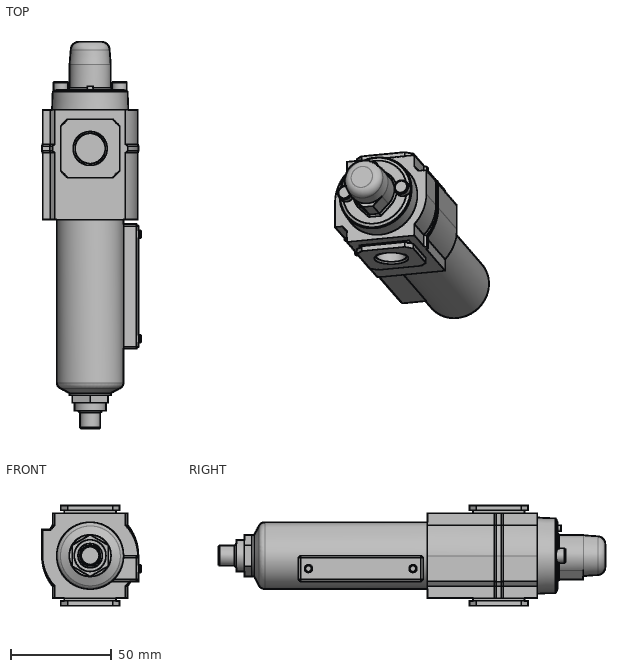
import cadquery as cq
import math


HOUSING_LENGTH = 54.8
HOUSING_HALF_HEIGHT = 21.2
FLANK_X = 17.5
BULGE_X = 23.7
LEDGE_Z = 12.7
SLOPE_X = 19.9
SHOULDER_Z = 15.3

RIB_FLANK_X = 18.7
RIB_BULGE_X = 24.1
RIB_LEDGE_Z = 13.1
RIB_SLOPE_X = 20.0
RIB_BASE_WIDTH = 4.5
RIB_CREST_WIDTH = 2.3

PORT_Y = 35.5
PAD_SIZE = 29.3
PAD_CORNER = 3.5
PAD_TOP_Z = 25.0
PAD_THICKNESS = 2.5
NECK_INSET = PAD_CORNER / 2
PORT_RADIUS = 7.5
PORT_DEPTH = 15.5
PORT_CHAMFER = 1.0

FLANGE_BASE_RADIUS = 19.1
FLANGE_TOP_RADIUS = 18.7
FLANGE_THICKNESS = 10.0
FLANGE_CHAMFER = 1.2
STEM_DIAMETER = 20.7
STEM_RADIUS = STEM_DIAMETER / 2
STEM_LENGTH = 12.7
STEM_KEEL_Z = -12.0
STEM_CHAMFER = 1.0
KNOB_TOP_RADIUS = 9.5
KNOB_LENGTH = 11.2
KNOB_FILLET = 4.2
BOLT_X = 14.7
BOLT_RADIUS = 3.7
BOLT_HEIGHT = 4.0
BOLT_CHAMFER = 0.5
PIN_Z = 13.7
PIN_RADIUS = 1.5
PIN_HEIGHT = 1.7
SELECT_MARGIN = 0.2

BOWL_DIAMETER = 33.4
BOWL_RADIUS = BOWL_DIAMETER / 2
BOWL_RIM_Y = -83.2
BOWL_RIM_FILLET = 3.3
BOWL_END_Y = -86.5

WASHER_RADIUS = 10.5
WASHER_THICKNESS = 1.2
NUT_SIDES = 6
NUT_THICKNESS = 3.7
COLLAR_RADIUS = 8.0
COLLAR_LENGTH = 4.0
DRAIN_DIAMETER = 10.2
DRAIN_RADIUS = DRAIN_DIAMETER / 2
DRAIN_END_Y = -104.2
DRAIN_CHAMFER = 0.68
DRAIN_FLARE = 1.0

BOX_OUTER_X = 24.1
BOX_HEIGHT = 13.0
BOX_START_Y = -2.1
BOX_LENGTH = 62.4
BOX_EDGE = 1.2
SCREW_SPACING = 52.1
SCREW_RADIUS = 2.0
SCREW_HEIGHT = 1.4
SCREW_CHAMFER = 0.4


def plane_at(y):
    """XZ plane at the given Y, facing -Y, with local axes along +X and +Z."""
    return cq.Workplane("XZ", origin=(0, y, 0))


def cylinder(radius, y_low, y_high, x=0, z=0):
    return plane_at(y_high).center(x, z).circle(radius).extrude(y_high - y_low)


def cone(radius_low, radius_high, y_low, y_high):
    outline = [(0, y_low), (radius_low, y_low), (radius_high, y_high), (0, y_high)]
    return cq.Workplane("XY").polyline(outline).close().revolve(360, (0, 0), (0, 1))


def housing_outline(workplane, flank_x, bulge_x, ledge_z, slope_x):
    """Outline with the same bulge on both sides, turned half a turn about Y."""
    top = HOUSING_HALF_HEIGHT
    return (
        workplane.moveTo(-flank_x, top)
        .lineTo(-flank_x, SHOULDER_Z)
        .lineTo(-slope_x, ledge_z)
        .lineTo(-bulge_x, ledge_z)
        .lineTo(-bulge_x, 0)
        .tangentArcPoint((-flank_x, -SHOULDER_Z), relative=False)
        .lineTo(-flank_x, -top)
        .lineTo(flank_x, -top)
        .lineTo(flank_x, -SHOULDER_Z)
        .lineTo(slope_x, -ledge_z)
        .lineTo(bulge_x, -ledge_z)
        .lineTo(bulge_x, 0)
        .tangentArcPoint((flank_x, SHOULDER_Z), relative=False)
        .lineTo(flank_x, top)
        .close()
    )


def base_outline(workplane):
    return housing_outline(workplane, FLANK_X, BULGE_X, LEDGE_Z, SLOPE_X)


def crest_outline(workplane):
    return housing_outline(workplane, RIB_FLANK_X, RIB_BULGE_X, RIB_LEDGE_Z, RIB_SLOPE_X)


def make_rib():
    """Rib with a flat crest and sloping flanks that follows the housing outline."""
    crest = crest_outline(plane_at(PORT_Y + RIB_CREST_WIDTH / 2)).extrude(RIB_CREST_WIDTH)
    flank_width = (RIB_BASE_WIDTH - RIB_CREST_WIDTH) / 2
    for side in (-1, 1):
        base = base_outline(plane_at(PORT_Y + side * RIB_BASE_WIDTH / 2))
        sections = crest_outline(base.workplane(offset=side * flank_width))
        crest = crest.union(sections.loft(ruled=True))
    return crest


def make_port_pad():
    """Pad on the top face, standing on a smaller neck."""
    pad_bottom = PAD_TOP_Z - PAD_THICKNESS
    plate = (
        cq.Workplane("XY", origin=(0, PORT_Y, pad_bottom))
        .rect(PAD_SIZE, PAD_SIZE)
        .extrude(PAD_THICKNESS)
        .edges("|Z")
        .chamfer(PAD_CORNER)
    )
    neck_size = PAD_SIZE - 2 * NECK_INSET
    neck = (
        cq.Workplane("XY", origin=(0, PORT_Y, HOUSING_HALF_HEIGHT))
        .rect(neck_size, neck_size)
        .extrude(pad_bottom - HOUSING_HALF_HEIGHT)
    )
    return plate.union(neck)


def make_port_bore():
    bore = cq.Workplane("XY", origin=(0, PORT_Y, PAD_TOP_Z)).circle(PORT_RADIUS).extrude(-PORT_DEPTH)
    mouth = cq.Solid.makeCone(
        PORT_RADIUS, PORT_RADIUS + PORT_CHAMFER, PORT_CHAMFER,
        pnt=cq.Vector(0, PORT_Y, PAD_TOP_Z - PORT_CHAMFER),
    )
    return bore.union(cq.Workplane(mouth))


def make_housing():
    housing = base_outline(plane_at(HOUSING_LENGTH)).extrude(HOUSING_LENGTH).union(make_rib())
    pad = make_port_pad()
    bore = make_port_bore()
    housing = housing.union(pad).union(pad.mirror("XY"))
    return housing.cut(bore).cut(bore.mirror("XY"))


def make_bonnet_stem(y_low, y_high):
    """Teardrop: a cylinder with two 45 degree tangent flats that meet a flat keel."""
    tangent = STEM_RADIUS * math.cos(math.pi / 4)
    keel_half_width = 2 * tangent + STEM_KEEL_Z
    return (
        plane_at(y_high)
        .moveTo(-tangent, -tangent)
        .threePointArc((0, STEM_RADIUS), (tangent, -tangent))
        .lineTo(keel_half_width, STEM_KEEL_Z)
        .lineTo(-keel_half_width, STEM_KEEL_Z)
        .close()
        .extrude(y_high - y_low)
    )


def make_bonnet():
    """Tapered flange with two bolt heads and a locating pin, carrying the stem and knob."""
    flange_top = HOUSING_LENGTH + FLANGE_THICKNESS
    stem_top = flange_top + STEM_LENGTH
    flange = cone(FLANGE_BASE_RADIUS, FLANGE_TOP_RADIUS, HOUSING_LENGTH, flange_top)
    flange = flange.faces(">Y").edges().chamfer(FLANGE_CHAMFER)
    knob = cone(STEM_RADIUS, KNOB_TOP_RADIUS, stem_top, stem_top + KNOB_LENGTH)
    knob = knob.faces(">Y").edges().fillet(KNOB_FILLET)
    bonnet = flange.union(make_bonnet_stem(flange_top, stem_top))
    root = cq.selectors.BoxSelector(
        (-BOLT_X, flange_top - SELECT_MARGIN, -BOLT_X),
        (BOLT_X, flange_top + SELECT_MARGIN, BOLT_X),
    )
    bonnet = bonnet.edges(root).chamfer(STEM_CHAMFER)
    for x in (-BOLT_X, BOLT_X):
        bolt = cylinder(BOLT_RADIUS, flange_top - FLANGE_CHAMFER, flange_top + BOLT_HEIGHT, x=x)
        bonnet = bonnet.union(bolt.faces(">Y").chamfer(BOLT_CHAMFER))
    pin = cylinder(PIN_RADIUS, flange_top, flange_top + PIN_HEIGHT, z=PIN_Z)
    return bonnet.union(pin).union(knob)


def make_bowl():
    wall = cylinder(BOWL_RADIUS, BOWL_RIM_Y, 0)
    end = cone(WASHER_RADIUS, BOWL_RADIUS, BOWL_END_Y, BOWL_RIM_Y)
    rim = cq.selectors.NearestToPointSelector((0, BOWL_RIM_Y, BOWL_RADIUS))
    return wall.union(end).edges(rim).fillet(BOWL_RIM_FILLET)


def make_drain():
    """Washer, hexagonal nut with its corners at top and bottom, collar and outlet stem."""
    washer_end = BOWL_END_Y - WASHER_THICKNESS
    nut_end = washer_end - NUT_THICKNESS
    collar_end = nut_end - COLLAR_LENGTH
    nut = (
        plane_at(washer_end)
        .transformed(rotate=(0, 0, 90))
        .polygon(NUT_SIDES, 2 * WASHER_RADIUS)
        .extrude(NUT_THICKNESS)
    )
    stem = cylinder(DRAIN_RADIUS, DRAIN_END_Y, collar_end).faces("<Y").chamfer(DRAIN_CHAMFER)
    flare = cone(DRAIN_RADIUS, DRAIN_RADIUS + DRAIN_FLARE, collar_end - DRAIN_FLARE, collar_end)
    drain = cylinder(WASHER_RADIUS, washer_end, BOWL_END_Y).union(nut)
    return drain.union(cylinder(COLLAR_RADIUS, collar_end, nut_end)).union(flare).union(stem)


def make_side_box():
    """Box seated against the bowl wall, with two screw heads on its outer face."""
    box_end = BOX_START_Y - BOX_LENGTH
    box = (
        cq.Workplane("XY")
        .box(BOX_OUTER_X, BOX_LENGTH, BOX_HEIGHT, centered=False)
        .translate((0, box_end, -BOX_HEIGHT))
        .edges(">X or >Y or <Y")
        .chamfer(BOX_EDGE)
        .cut(cylinder(BOWL_RADIUS, box_end, BOX_START_Y))
    )
    middle = BOX_START_Y - BOX_LENGTH / 2
    for y in (middle - SCREW_SPACING / 2, middle + SCREW_SPACING / 2):
        screw = (
            cq.Workplane("YZ", origin=(BOX_OUTER_X, y, -BOX_HEIGHT / 2))
            .circle(SCREW_RADIUS)
            .extrude(SCREW_HEIGHT)
            .faces(">X")
            .chamfer(SCREW_CHAMFER)
        )
        box = box.union(screw)
    return box


housing = make_housing()
bonnet = make_bonnet()
bowl = make_bowl()
drain = make_drain()
side_box = make_side_box()

result = cq.Compound.makeCompound(
    [housing.val(), bonnet.val(), bowl.val(), drain.val(), side_box.val()]
)